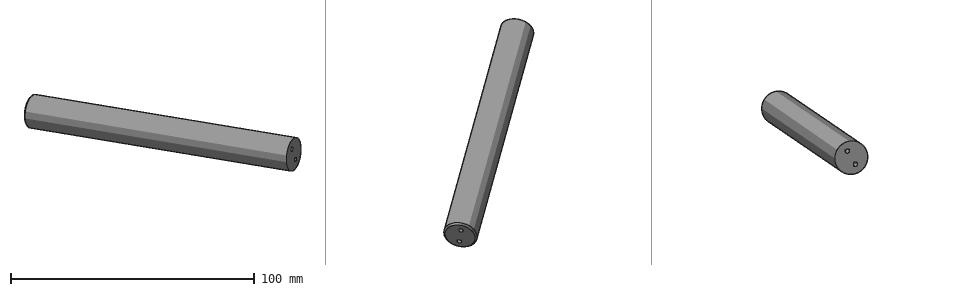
import cadquery as cq
import math

rod_length = 120.0
rod_diameter = 14.0
bevel_size = 0.7

channel_count = 2
channel_diameter = 1.8
channel_spacing = 6.6
channel_start_angle = 6.0
surface_helix_angle = 30.0
channel_lead = math.pi * rod_diameter / math.tan(math.radians(surface_helix_angle))
end_overrun = 1.2


def make_rod():
    """Plain round rod with its -X end bevelled."""
    start_plane = cq.Workplane("YZ", origin=(-rod_length / 2, 0, 0))
    rod = start_plane.circle(rod_diameter / 2).extrude(rod_length)
    return rod.faces("<X").chamfer(bevel_size)


def make_channel(angle):
    """Round helical cutter crossing the -X end at an angle (degrees) from +Z."""
    center_radius = channel_spacing / 2
    path = cq.Wire.makeHelix(channel_lead, rod_length + 2 * end_overrun, center_radius)
    channel = (
        cq.Workplane("XY")
        .center(center_radius, 0)
        .circle(channel_diameter / 2)
        .sweep(cq.Workplane(path), isFrenet=True)
    )
    overrun_turn = 360 * end_overrun / channel_lead
    channel = channel.rotate((0, 0, 0), (0, 1, 0), 90)
    channel = channel.rotate((0, 0, 0), (1, 0, 0), 180 + angle - overrun_turn)
    return channel.translate((-rod_length / 2 - end_overrun, 0, 0))


result = make_rod()
for index in range(channel_count):
    result = result.cut(make_channel(channel_start_angle + index * 360 / channel_count))